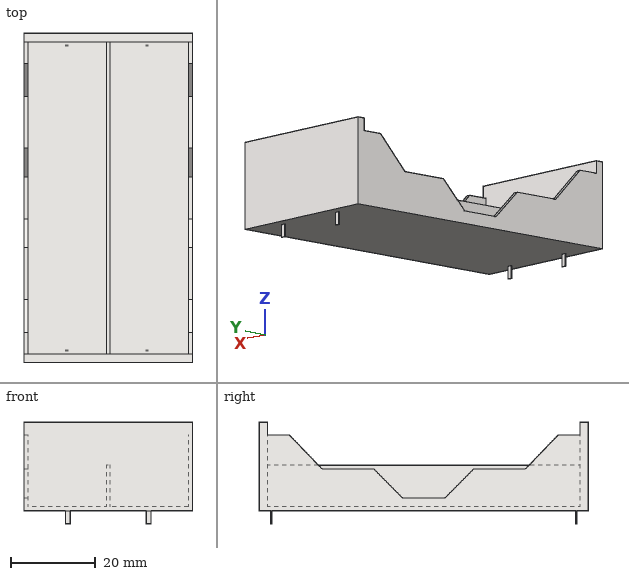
import cadquery as cq

length = 77.6
width = 39.8
overall_height = 24.0
pin_length = 3.0
housing_height = overall_height - pin_length
end_wall = 2.0
side_wall = 1.0
floor_thickness = 1.0
divider_thickness = 0.8
divider_top = 10.8

shoulder_height = 17.9
ledge_height = 9.85
notch_height = 3.0
shoulder_half = 31.65
ledge_outer_half = 23.9
ledge_inner_half = 11.7
notch_half = 5.0

pin_width = 1.2
pin_thickness = 0.3
pin_spacing_x = 19.0
pin_spacing_y = 71.85

inner_length = length - 2 * end_wall


def box_from(z_bottom, size_x, size_y, size_z):
    """Box centred on X and Y that rises from z_bottom."""
    return (
        cq.Workplane("XY")
        .workplane(offset=z_bottom)
        .box(size_x, size_y, size_z, centered=(True, True, False))
    )


def make_side_wall_relief():
    """Space above the stepped side walls, between the end walls."""
    half_edge = [
        (inner_length / 2, housing_height),
        (inner_length / 2, shoulder_height),
        (shoulder_half, shoulder_height),
        (ledge_outer_half, ledge_height),
        (ledge_inner_half, ledge_height),
        (notch_half, notch_height),
    ]
    mirrored_edge = [(-y, z) for y, z in reversed(half_edge)]
    return (
        cq.Workplane("YZ")
        .polyline(half_edge + mirrored_edge)
        .close()
        .extrude(width / 2, both=True)
    )


def make_housing():
    block = box_from(0, width, length, housing_height)
    cavity = box_from(
        floor_thickness,
        width - 2 * side_wall,
        inner_length,
        housing_height - floor_thickness,
    )
    divider = box_from(
        floor_thickness,
        divider_thickness,
        inner_length,
        divider_top - floor_thickness,
    )
    tray = block.cut(cavity).cut(make_side_wall_relief())
    return tray.union(divider)


def make_pin(x, y):
    """Flat pin whose top meets the underside of the housing."""
    return box_from(-pin_length, pin_width, pin_thickness, pin_length).translate((x, y, 0))


housing = make_housing()
pins = []
for x_side in (-1, 1):
    for y_side in (-1, 1):
        pins.append(make_pin(x_side * pin_spacing_x / 2, y_side * pin_spacing_y / 2))

result = cq.Compound.makeCompound([housing.val(), *[pin.val() for pin in pins]])